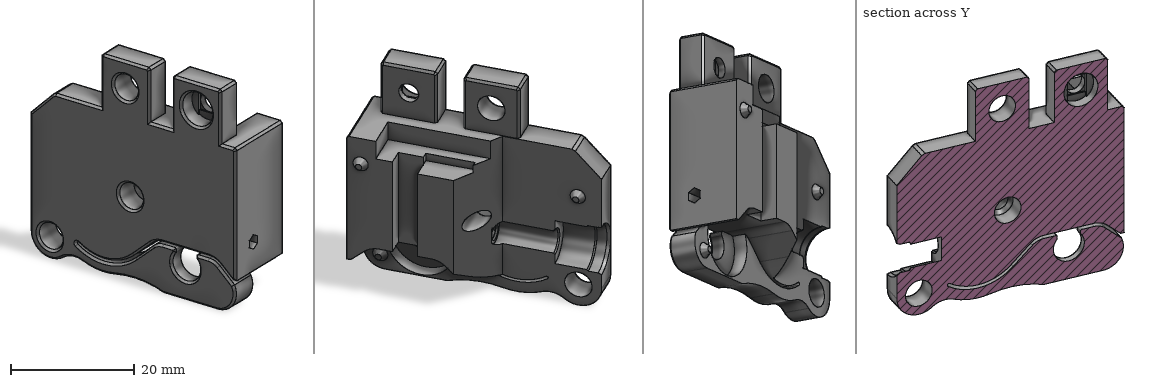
import cadquery as cq
import math


WIDTH = 41.0
PLATE_THICKNESS = 5.0
BODY_TOP = 30.0
TOTAL_HEIGHT = 39.75
TOTAL_DEPTH = 14.17
BLOCK_BACK = 13.1
EDGE_CHAMFER = 0.4
OVERLAP = 1.0

CORNER_RADIUS = 4.0
SLOPE_START = (0.0, 25.2)
SLOPE_END = (4.5, 29.7)
SLOPE_LAND_X = 5.1

TAB_WIDTH = 9.7
LEFT_TAB_X = 19.0
RIGHT_TAB_X = 33.18
TAB_THICKNESS = 4.85
TAB_HOLE_Z = 34.9

SLOT_WIDTH = 0.5
SLOT_START_X = 9.45
SLOT_BOW_X = 14.6
SLOT_BOW_LOW_Z = 2.63
SLOT_TOP_Z = 8.97
SLOT_RAMP_ANGLE = 42.0
SLOT_RAMP_TOP_X = 25.2
SLOT_BEND_RADIUS = 3.3
SLOT_MOUTH_Z = 6.15
LEVER_END_X = 40.87
LEVER_NOSE_RADIUS = 3.7
LEVER_HOLE_X = 31.0
LEVER_HOLE_Z = 6.15
LEVER_HOLE_DIAMETER = 5.5
LEVER_HOLE_RIM = 2.6
LEVER_RECESS_DIAMETER = 11.8
LEVER_GAP = 4.1
LIP_RADIUS = 0.3
ARM_THICKNESS = 1.95
WAIST_RADIUS = 4.0
HUMP_RADIUS = 18.0
HUMP_X = 20.5

SCREW_DIAMETER = 3.4
LARGE_HOLE_DIAMETER = 4.7
HEAD_BORE_DIAMETER = 6.0
HEAD_BORE_DEPTH = 3.0
BRIDGE_STEP = 0.3
CENTER_HOLE_X = 20.0
CENTER_HOLE_Z = 15.6

BLOCK_FOOT_X = 17.0
BLOCK_SHOULDER_X = 22.7
STEP_WALL_X = 36.0
STEP_FLOOR_Y = 7.0
STEP_FLOOR_Z = 26.6
POCKET_LEFT_X = 20.45
POCKET_FLOOR_Y = 8.9
POCKET_FLOOR_Z = 25.2
CHANNEL_WIDTH = 4.3
CHANNEL_FLOOR_Y = 10.1

INLET_Y = PLATE_THICKNESS
INLET_Z = 11.35
INLET_MOUTH_DIAMETER = 9.2
INLET_MOUTH_LENGTH = 0.6
INLET_DIAMETER = 8.8
INLET_STRAIGHT_END_X = 2.3
INLET_FLOOR_DIAMETER = 8.3
INLET_FLOOR_X = 8.0
TUBE_DIAMETER = 4.3
TUBE_CHAMFER = 0.25
TUBE_END_X = 18.3
FUNNEL_DIAMETER = 3.2
HEX_FLATS = 2.25
HEX_DIAMETER = HEX_FLATS / math.cos(math.pi / 6)
FUNNEL_LENGTH = (FUNNEL_DIAMETER - HEX_DIAMETER) / 2

PIN_BASE_DIAMETER = 2.6
PIN_TIP_DIAMETER = 1.1
PIN_HEIGHT = TOTAL_DEPTH - BLOCK_BACK
PINS = (
    (4.1, 21.05, PLATE_THICKNESS),
    (38.0, 2.8, PLATE_THICKNESS),
    (38.6, 25.1, BLOCK_BACK),
)

RAMP_SIN = math.sin(math.radians(SLOT_RAMP_ANGLE))
RAMP_COS = math.cos(math.radians(SLOT_RAMP_ANGLE))
SLOT_BOW_RADIUS = (
    (SLOT_RAMP_TOP_X - SLOT_BOW_X) * RAMP_SIN - (SLOT_TOP_Z - SLOT_BOW_LOW_Z) * RAMP_COS
) / (1 - RAMP_COS)
SLOT_BOW_CENTER = (SLOT_BOW_X, SLOT_BOW_LOW_Z + SLOT_BOW_RADIUS)
SLOT_EXIT_X = WIDTH + OVERLAP


def front_plane(y=0.0):
    """Sketch plane in X and Z; its normal points forward, so depths are negative."""
    return cq.Workplane("XZ", origin=(0, y, 0))


def box(x_range, y_range, z_range):
    sizes = [high - low for low, high in (x_range, y_range, z_range)]
    corner = (x_range[0], y_range[0], z_range[0])
    return cq.Workplane("XY").box(*sizes, centered=False).translate(corner)


def centered_range(middle, size):
    return (middle - size / 2, middle + size / 2)


def hole(x, z, diameter, depth, y=0.0):
    return front_plane(y).center(x, z).circle(diameter / 2).extrude(-depth)


def cone(start, direction, diameter, end_diameter, length):
    solid = cq.Solid.makeCone(
        diameter / 2, end_diameter / 2, length, cq.Vector(*start), cq.Vector(*direction)
    )
    return cq.Workplane(solid)


def cone_along_y(x, y, z, diameter, end_diameter, length):
    return cone((x, y, z), (0, 1, 0), diameter, end_diameter, length)


def inlet_cone(x, diameter, end_diameter, length):
    return cone((x, INLET_Y, INLET_Z), (1, 0, 0), diameter, end_diameter, length)


def inlet_sketch():
    return cq.Workplane("YZ", origin=(0, INLET_Y, INLET_Z))


def point_on(center, radius, angle):
    turn = math.radians(angle)
    return (center[0] + radius * math.cos(turn), center[1] + radius * math.sin(turn))


def point_toward(start, end, distance):
    share = distance / math.dist(start, end)
    return (start[0] + (end[0] - start[0]) * share, start[1] + (end[1] - start[1]) * share)


def tangent_center_below(left, left_radius, right, right_radius, radius):
    """Centre of the circle that touches two circles from outside, on their lower side."""
    span = math.dist(left, right)
    left_reach = left_radius + radius
    right_reach = right_radius + radius
    along = (left_reach**2 - right_reach**2 + span**2) / (2 * span)
    across = math.sqrt(left_reach**2 - along**2)
    unit_x = (right[0] - left[0]) / span
    unit_z = (right[1] - left[1]) / span
    return (
        left[0] + along * unit_x + across * unit_z,
        left[1] + along * unit_z - across * unit_x,
    )


def plate_outline():
    """Closed outline of the plate and lever, run counterclockwise from the left side."""
    corner = (CORNER_RADIUS, CORNER_RADIUS)
    bow = SLOT_BOW_CENTER
    arm_radius = SLOT_BOW_RADIUS + SLOT_WIDTH / 2 + ARM_THICKNESS
    waist = tangent_center_below(corner, CORNER_RADIUS, bow, arm_radius, WAIST_RADIUS)
    hump_drop = math.sqrt((arm_radius + HUMP_RADIUS) ** 2 - (HUMP_X - bow[0]) ** 2)
    hump = (HUMP_X, bow[1] - hump_drop)
    hump_end_x = HUMP_X + math.sqrt(HUMP_RADIUS**2 - hump[1] ** 2)
    nose = (LEVER_END_X - LEVER_NOSE_RADIUS, LEVER_NOSE_RADIUS)
    nose_end_angle = math.degrees(math.asin((SLOT_MOUTH_Z - nose[1]) / LEVER_NOSE_RADIUS))
    return (
        front_plane()
        .moveTo(0, CORNER_RADIUS)
        .threePointArc(point_on(corner, CORNER_RADIUS, 225), point_toward(corner, waist, CORNER_RADIUS))
        .threePointArc(point_on(waist, WAIST_RADIUS, 90), point_toward(waist, bow, WAIST_RADIUS))
        .threePointArc(point_on(bow, arm_radius, 270), point_toward(bow, hump, arm_radius))
        .threePointArc(point_on(hump, HUMP_RADIUS, 90), (hump_end_x, 0))
        .lineTo(nose[0], 0)
        .threePointArc(
            point_on(nose, LEVER_NOSE_RADIUS, -45), point_on(nose, LEVER_NOSE_RADIUS, nose_end_angle)
        )
        .lineTo(WIDTH, SLOT_MOUTH_Z)
        .lineTo(WIDTH, BODY_TOP - EDGE_CHAMFER)
        .lineTo(WIDTH - EDGE_CHAMFER, BODY_TOP)
        .lineTo(SLOPE_LAND_X, BODY_TOP)
        .lineTo(*SLOPE_END)
        .lineTo(*SLOPE_START)
        .close()
    )


def make_tab(center_x):
    tab = box(
        centered_range(center_x, TAB_WIDTH), (0, TAB_THICKNESS), (BODY_TOP - OVERLAP, TOTAL_HEIGHT)
    )
    tab = tab.edges("|Y and >Z").chamfer(EDGE_CHAMFER)
    return tab.faces(">Y").edges("not <Z").chamfer(EDGE_CHAMFER)


def make_plate():
    """Plate with its round holes, chamfered along every edge of the front face."""
    plate = plate_outline().extrude(-PLATE_THICKNESS)
    for center_x in (LEFT_TAB_X, RIGHT_TAB_X):
        plate = plate.union(make_tab(center_x))
    for x, z in ((LEFT_TAB_X, TAB_HOLE_Z), (CORNER_RADIUS, CORNER_RADIUS)):
        plate = plate.cut(hole(x, z, LARGE_HOLE_DIAMETER, PLATE_THICKNESS))
    plate = plate.cut(center_hole())
    plate = plate.cut(hole(RIGHT_TAB_X, TAB_HOLE_Z, HEAD_BORE_DIAMETER, HEAD_BORE_DEPTH))
    return plate.faces("<Y").edges().chamfer(EDGE_CHAMFER)


def center_hole():
    """Wide hole that narrows at 45 degrees to a screw hole through the block."""
    narrowing = (LARGE_HOLE_DIAMETER - SCREW_DIAMETER) / 2
    wide_depth = PLATE_THICKNESS - narrowing
    x, z = CENTER_HOLE_X, CENTER_HOLE_Z
    wide = hole(x, z, LARGE_HOLE_DIAMETER, wide_depth)
    funnel = cone_along_y(x, wide_depth, z, LARGE_HOLE_DIAMETER, SCREW_DIAMETER, narrowing)
    return wide.union(funnel).union(hole(x, z, SCREW_DIAMETER, BLOCK_BACK))


def bridged_screw_hole():
    """Steps behind the screw head bore: a flat-sided slice, a square, then the screw hole."""
    slice_x = centered_range(RIGHT_TAB_X, SCREW_DIAMETER)
    slice_end = HEAD_BORE_DEPTH + BRIDGE_STEP
    square_end = slice_end + BRIDGE_STEP
    band = box(slice_x, (HEAD_BORE_DEPTH, slice_end), centered_range(TAB_HOLE_Z, HEAD_BORE_DIAMETER))
    flat_sided = hole(RIGHT_TAB_X, TAB_HOLE_Z, HEAD_BORE_DIAMETER, TAB_THICKNESS).intersect(band)
    square = box(slice_x, (HEAD_BORE_DEPTH, square_end), centered_range(TAB_HOLE_Z, SCREW_DIAMETER))
    screw = hole(RIGHT_TAB_X, TAB_HOLE_Z, SCREW_DIAMETER, TAB_THICKNESS)
    return screw.union(square).union(flat_sided)


def slot_path():
    """Centre line of the slot: bow, ramp up, flat over the lever and ramp down to the side."""
    bow, radius, bend = SLOT_BOW_CENTER, SLOT_BOW_RADIUS, SLOT_BEND_RADIUS
    start_z = bow[1] - math.sqrt(radius**2 - (bow[0] - SLOT_START_X) ** 2)
    ramp_down_x = 2 * LEVER_HOLE_X - SLOT_RAMP_TOP_X
    setback = bend * math.tan(math.radians(SLOT_RAMP_ANGLE / 2))
    left = (SLOT_RAMP_TOP_X + setback, SLOT_TOP_Z - bend)
    right = (ramp_down_x - setback, SLOT_TOP_Z - bend)
    half_turn = SLOT_RAMP_ANGLE / 2
    exit_z = SLOT_TOP_Z - (SLOT_EXIT_X - ramp_down_x) * RAMP_SIN / RAMP_COS
    return (
        front_plane()
        .moveTo(SLOT_START_X, start_z)
        .threePointArc(point_on(bow, radius, 270), point_on(bow, radius, SLOT_RAMP_ANGLE - 90))
        .lineTo(*point_on(left, bend, 90 + SLOT_RAMP_ANGLE))
        .threePointArc(point_on(left, bend, 90 + half_turn), (left[0], SLOT_TOP_Z))
        .lineTo(right[0], SLOT_TOP_Z)
        .threePointArc(point_on(right, bend, 90 - half_turn), point_on(right, bend, 90 - SLOT_RAMP_ANGLE))
        .lineTo(SLOT_EXIT_X, exit_z)
    )


def below_slot(y, depth):
    """Everything under the centre line of the slot, from y back over the given depth."""
    region = slot_path().lineTo(SLOT_EXIT_X, -OVERLAP).lineTo(SLOT_START_X, -OVERLAP).close()
    return region.extrude(-depth).translate((0, y, 0))


def slot_flare():
    """Chamfer around the slot: widest at the front face, closing to the slot width."""
    rim = slot_path().offset2D(SLOT_WIDTH / 2 + EDGE_CHAMFER).val()
    root = slot_path().offset2D(SLOT_WIDTH / 2).val().translate(cq.Vector(0, EDGE_CHAMFER, 0))
    return cq.Workplane(cq.Solid.makeLoft([rim, root], True))


def gap_flare():
    """Chamfer along both sides of the opening between the lever lips."""
    half = LEVER_GAP / 2
    profile = [
        (LEVER_HOLE_X - half - EDGE_CHAMFER, 0),
        (LEVER_HOLE_X + half + EDGE_CHAMFER, 0),
        (LEVER_HOLE_X + half, EDGE_CHAMFER),
        (LEVER_HOLE_X - half, EDGE_CHAMFER),
    ]
    wedge = cq.Workplane("XY", origin=(0, 0, LEVER_HOLE_Z)).polyline(profile).close()
    return wedge.extrude(SLOT_TOP_Z - LEVER_HOLE_Z)


def cut_lever(body):
    """Free the lever with the slot and give it an open hole with rounded lips."""
    x, z = LEVER_HOLE_X, LEVER_HOLE_Z
    gap_x = centered_range(x, LEVER_GAP)
    body = body.cut(slot_path().offset2D(SLOT_WIDTH / 2).extrude(-BLOCK_BACK))
    body = body.cut(hole(x, z, LEVER_HOLE_DIAMETER, PLATE_THICKNESS))
    body = body.cut(box(gap_x, (0, PLATE_THICKNESS), (z, SLOT_TOP_Z)))
    lip_edges = cq.selectors.BoxSelector(
        (gap_x[0] - LIP_RADIUS, 0, z + LIP_RADIUS),
        (gap_x[1] + LIP_RADIUS, PLATE_THICKNESS, SLOT_TOP_Z),
    )
    body = body.edges("|Y").edges(lip_edges).fillet(LIP_RADIUS)
    rim_diameter = LEVER_HOLE_DIAMETER + 2 * EDGE_CHAMFER
    body = body.cut(slot_flare()).cut(gap_flare())
    body = body.cut(cone_along_y(x, 0, z, rim_diameter, LEVER_HOLE_DIAMETER, EDGE_CHAMFER))
    recess_depth = PLATE_THICKNESS - LEVER_HOLE_RIM
    recess = hole(x, z, LEVER_RECESS_DIAMETER, recess_depth, LEVER_HOLE_RIM)
    return body.cut(recess.intersect(below_slot(LEVER_HOLE_RIM, recess_depth)))


def make_block():
    """Block with a sloped left side, a top step, a pocket and a vertical channel."""
    profile = [
        (BLOCK_FOOT_X, PLATE_THICKNESS),
        (BLOCK_SHOULDER_X, BLOCK_BACK),
        (WIDTH, BLOCK_BACK),
        (WIDTH, PLATE_THICKNESS),
    ]
    block = cq.Workplane("XY").polyline(profile).close().extrude(BODY_TOP)
    block = block.edges("|Y and >Z and >X").chamfer(EDGE_CHAMFER)
    channel_x = centered_range(LEVER_HOLE_X, CHANNEL_WIDTH)
    pocket_x = (POCKET_LEFT_X, channel_x[0])
    block = block.cut(box((0, STEP_WALL_X), (STEP_FLOOR_Y, BLOCK_BACK), (STEP_FLOOR_Z, BODY_TOP)))
    block = block.cut(box(pocket_x, (POCKET_FLOOR_Y, BLOCK_BACK), (POCKET_FLOOR_Z, BODY_TOP)))
    block = block.cut(box(channel_x, (CHANNEL_FLOOR_Y, BLOCK_BACK), (0, BODY_TOP)))
    block = block.cut(below_slot(0, BLOCK_BACK))
    mouth = box((LEVER_HOLE_X, WIDTH), (0, BLOCK_BACK), (0, SLOT_MOUTH_Z))
    return block.cut(mouth).cut(center_hole())


def inlet():
    """Stepped passage: wide bore, tube seat, funnel and a hexagonal hole out the far side."""
    tube_mouth = TUBE_DIAMETER + 2 * TUBE_CHAMFER
    shoulder = (INLET_DIAMETER - INLET_FLOOR_DIAMETER) / 2
    hexagon = inlet_sketch().transformed(rotate=(0, 0, 90)).polygon(6, HEX_DIAMETER)
    return (
        inlet_sketch().circle(INLET_DIAMETER / 2).extrude(INLET_STRAIGHT_END_X)
        .union(inlet_cone(0, INLET_MOUTH_DIAMETER, INLET_DIAMETER, INLET_MOUTH_LENGTH))
        .union(inlet_cone(INLET_STRAIGHT_END_X, INLET_DIAMETER, INLET_FLOOR_DIAMETER, shoulder))
        .union(inlet_sketch().circle(INLET_FLOOR_DIAMETER / 2).extrude(INLET_FLOOR_X))
        .union(inlet_cone(INLET_FLOOR_X, tube_mouth, TUBE_DIAMETER, TUBE_CHAMFER))
        .union(inlet_sketch().circle(TUBE_DIAMETER / 2).extrude(TUBE_END_X))
        .union(inlet_cone(TUBE_END_X, FUNNEL_DIAMETER, HEX_DIAMETER, FUNNEL_LENGTH))
        .union(hexagon.extrude(WIDTH))
    )


def add_pins(body):
    for x, z, y in PINS:
        body = body.union(cone_along_y(x, y, z, PIN_BASE_DIAMETER, PIN_TIP_DIAMETER, PIN_HEIGHT))
    return body


part = make_plate().union(make_block())
part = cut_lever(part)
part = part.cut(bridged_screw_hole())
part = part.cut(inlet())
result = add_pins(part)